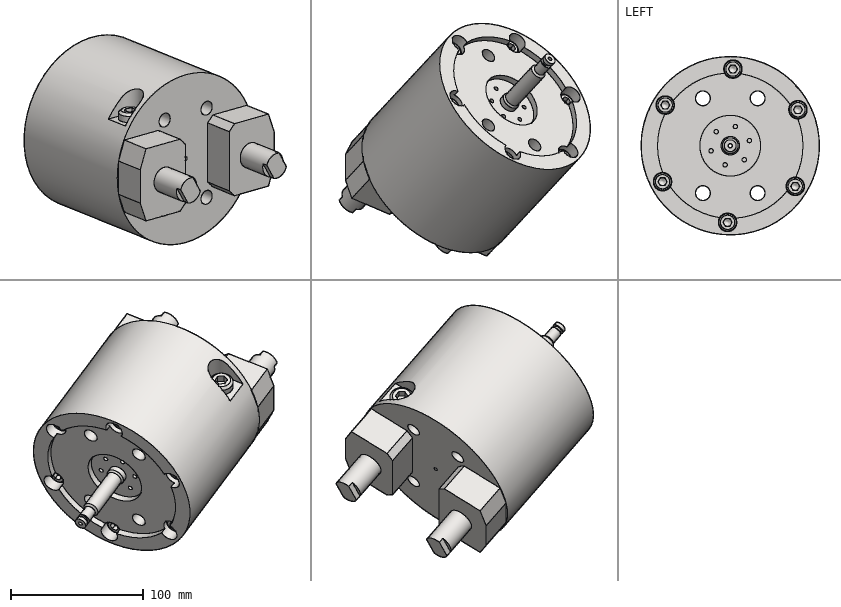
import cadquery as cq
import math


BODY_DIAMETER = 135.0
BODY_LENGTH = 110.0
FACE_RECESS_DIAMETER = 110.0
FACE_RECESS_DEPTH = 5.0
HUB_RECESS_DIAMETER = 46.0
HUB_RECESS_DEPTH = 10.0

THROUGH_HOLE_DIAMETER = 11.0
THROUGH_HOLE_CIRCLE_RADIUS = 41.4
THROUGH_HOLE_ANGLE = 60.0

HUB_HOLE_COUNT = 6
HUB_HOLE_DIAMETER = 3.3
HUB_HOLE_CIRCLE_RADIUS = 15.0
HUB_HOLE_START_ANGLE = 15.0
HUB_HOLE_DEPTH = 8.0

SHAFT_TIP_X = -49.5
SHAFT_DIAMETER = 12.0
SHAFT_NECK_DIAMETER = 9.0
SHAFT_NECK_LENGTH = 15.2
SHAFT_BORE_DIAMETER = 3.0
CLIP_GROOVE_DIAMETER = 6.0
CLIP_GROOVE_OFFSET = 3.0
CLIP_GROOVE_WIDTH = 2.5
COLLAR_DIAMETER = 14.0
COLLAR_LENGTH = 6.0
COLLAR_CHAMFER_LENGTH = 1.7

FACE_SCREW_COUNT = 6
FACE_SCREW_CIRCLE_RADIUS = 58.0
FACE_SCREW_START_ANGLE = 28.0
FACE_SCREW_BORE_DIAMETER = 14.0
FACE_SCREW_BORE_DEPTH = 16.0
FACE_SCREW_HEAD_DIAMETER = 13.0
FACE_SCREW_HEAD_HEIGHT = 8.0
FACE_SCREW_HEAD_CHAMFER_LENGTH = 0.6
FACE_SCREW_HEAD_CHAMFER_DEPTH = 1.1
FACE_SCREW_HEX = 6.0
FACE_SCREW_HEX_DEPTH = 4.0
DRILL_POINT_ANGLE = 118.0

POCKET_X = 95.5
POCKET_Y = -42.5
POCKET_FLOOR_Z = 38.0
POCKET_WIDTH = 20.0
CLAMP_HEAD_DIAMETER = 18.0
CLAMP_HEAD_HEIGHT = 7.0
CLAMP_HEAD_CHAMFER = 2.0
CLAMP_HEX = 8.0
CLAMP_HEX_DEPTH = 6.0
CLAMP_HEX_TURN = 4.0

BLOCK_LENGTH = 25.5
BLOCK_WIDTH = 44.4
BLOCK_HEIGHT = 58.0
BLOCK_OUTER_CORNER_Z = 15.6
BLOCK_OUTER_CORNER_ANGLE = 20.0
BLOCK_INNER_CHAMFER = 5.2
BLOCK_CENTER_Y = 43.9
PIPE_DIAMETER = 20.0
PIPE_LENGTH = 31.0
PIPE_CENTER_Y = 42.5
PIPE_FLAT_WIDTH = 14.0
PIPE_FLAT_LENGTH = 4.5
PIPE_FLAT_ANGLE = 30.0

TOTAL_LENGTH = BODY_LENGTH + BLOCK_LENGTH + PIPE_LENGTH - SHAFT_TIP_X


def rod(diameter, start_x, length, y=0.0, z=0.0):
    """Cylinder along +X starting at start_x."""
    return cq.Workplane("YZ", origin=(start_x, y, z)).circle(diameter / 2).extrude(length)


def bevel_front_edge(round_part, length, depth):
    """Bevel the -X rim of a cylinder on the X axis; length runs along X and depth radially."""
    box = round_part.val().BoundingBox()
    radius = box.ylen / 2
    profile = [(box.xmin, radius - depth), (box.xmin, radius), (box.xmin + length, radius)]
    ring = cq.Workplane("XY").polyline(profile).close().revolve(360, (0, 0, 0), (1, 0, 0))
    return round_part.cut(ring)


def hexagon_corner_diameter(across_flats):
    return across_flats / math.cos(math.radians(30))


def on_circle(radius, angle):
    """(y, z) on a circle about the main axis; 0 degrees is -Y and 90 degrees is +Z."""
    a = math.radians(angle)
    return -radius * math.cos(a), radius * math.sin(a)


def make_body():
    body = rod(BODY_DIAMETER, 0, BODY_LENGTH)
    body = body.cut(rod(FACE_RECESS_DIAMETER, 0, FACE_RECESS_DEPTH))
    return body.cut(rod(HUB_RECESS_DIAMETER, 0, HUB_RECESS_DEPTH))


def cut_through_holes(part):
    y, z = on_circle(THROUGH_HOLE_CIRCLE_RADIUS, THROUGH_HOLE_ANGLE)
    for side_y in (y, -y):
        for side_z in (z, -z):
            part = part.cut(rod(THROUGH_HOLE_DIAMETER, 0, BODY_LENGTH, side_y, side_z))
    return part


def cut_hub_holes(part):
    for i in range(HUB_HOLE_COUNT):
        angle = HUB_HOLE_START_ANGLE + i * 360 / HUB_HOLE_COUNT
        y, z = on_circle(HUB_HOLE_CIRCLE_RADIUS, angle)
        part = part.cut(rod(HUB_HOLE_DIAMETER, HUB_RECESS_DEPTH, HUB_HOLE_DEPTH, y, z))
    return part


def make_shaft():
    shoulder_x = SHAFT_TIP_X + SHAFT_NECK_LENGTH
    shoulder_chamfer = (SHAFT_DIAMETER - SHAFT_NECK_DIAMETER) / 2
    neck = rod(SHAFT_NECK_DIAMETER, SHAFT_TIP_X, SHAFT_NECK_LENGTH)
    groove_x = SHAFT_TIP_X + CLIP_GROOVE_OFFSET
    groove = rod(SHAFT_NECK_DIAMETER, groove_x, CLIP_GROOVE_WIDTH)
    groove = groove.cut(rod(CLIP_GROOVE_DIAMETER, groove_x, CLIP_GROOVE_WIDTH))
    main = rod(SHAFT_DIAMETER, shoulder_x, HUB_RECESS_DEPTH - shoulder_x)
    main = bevel_front_edge(main, shoulder_chamfer, shoulder_chamfer)
    collar = rod(COLLAR_DIAMETER, HUB_RECESS_DEPTH - COLLAR_LENGTH, COLLAR_LENGTH)
    chamfer_depth = (COLLAR_DIAMETER - SHAFT_DIAMETER) / 2
    collar = bevel_front_edge(collar, COLLAR_CHAMFER_LENGTH, chamfer_depth)
    return neck.cut(groove).union(main).union(collar)


def make_face_screw_head():
    """Screw head on the X axis with its top at x = 0 and a drilled hexagon socket."""
    head = rod(FACE_SCREW_HEAD_DIAMETER, 0, FACE_SCREW_HEAD_HEIGHT)
    head = bevel_front_edge(head, FACE_SCREW_HEAD_CHAMFER_LENGTH, FACE_SCREW_HEAD_CHAMFER_DEPTH)
    hex_corners = hexagon_corner_diameter(FACE_SCREW_HEX)
    socket = cq.Workplane("YZ").polygon(6, hex_corners).extrude(FACE_SCREW_HEX_DEPTH)
    point_radius = FACE_SCREW_HEX / 2
    point_depth = point_radius / math.tan(math.radians(DRILL_POINT_ANGLE / 2))
    point = cq.Workplane(cq.Solid.makeCone(
        point_radius, 0, point_depth, cq.Vector(FACE_SCREW_HEX_DEPTH, 0, 0), cq.Vector(1, 0, 0)))
    return head.cut(socket).cut(point)


def add_face_screws(part):
    head = make_face_screw_head()
    head_x = FACE_SCREW_BORE_DEPTH - FACE_SCREW_HEAD_HEIGHT
    for i in range(FACE_SCREW_COUNT):
        angle = FACE_SCREW_START_ANGLE + i * 360 / FACE_SCREW_COUNT
        y, z = on_circle(FACE_SCREW_CIRCLE_RADIUS, angle)
        part = part.cut(rod(FACE_SCREW_BORE_DIAMETER, 0, FACE_SCREW_BORE_DEPTH, y, z))
        part = part.union(head.translate((head_x, y, z)))
    return part


def add_clamp_screw(part):
    floor = cq.Workplane("XY", origin=(POCKET_X, POCKET_Y, POCKET_FLOOR_Z))
    pocket_height = BODY_DIAMETER / 2 - POCKET_FLOOR_Z
    open_length = BODY_DIAMETER / 2 + POCKET_Y
    pocket = floor.circle(POCKET_WIDTH / 2).extrude(pocket_height)
    mouth = floor.center(0, -open_length / 2).rect(POCKET_WIDTH, open_length).extrude(pocket_height)
    head = floor.circle(CLAMP_HEAD_DIAMETER / 2).extrude(CLAMP_HEAD_HEIGHT)
    head = head.faces(">Z").chamfer(CLAMP_HEAD_CHAMFER)
    hex_corners = hexagon_corner_diameter(CLAMP_HEX)
    socket = (
        floor.workplane(offset=CLAMP_HEAD_HEIGHT - CLAMP_HEX_DEPTH)
        .transformed(rotate=(0, 0, CLAMP_HEX_TURN))
        .polygon(6, hex_corners)
        .extrude(CLAMP_HEX_DEPTH)
    )
    return part.cut(pocket).cut(mouth).union(head.cut(socket))


def make_block(side):
    """Block on the +Y (side 1) or -Y (side -1) half.

    Its outer corners are cut obliquely to stay inside the body diameter, its inner ones at 45 degrees.
    """
    inner_y = BLOCK_CENTER_Y - BLOCK_WIDTH / 2
    outer_y = BLOCK_CENTER_Y + BLOCK_WIDTH / 2
    half_z = BLOCK_HEIGHT / 2
    outer_z = half_z - BLOCK_OUTER_CORNER_Z
    outer_cut_y = outer_y - BLOCK_OUTER_CORNER_Z * math.tan(math.radians(BLOCK_OUTER_CORNER_ANGLE))
    inner_z = half_z - BLOCK_INNER_CHAMFER
    inner_cut_y = inner_y + BLOCK_INNER_CHAMFER
    upper_half = [(inner_y, inner_z), (inner_cut_y, half_z), (outer_cut_y, half_z), (outer_y, outer_z)]
    lower_half = [(y, -z) for y, z in reversed(upper_half)]
    outline = [(side * y, z) for y, z in upper_half + lower_half]
    plane = cq.Workplane("YZ", origin=(BODY_LENGTH, 0, 0))
    return plane.polyline(outline).close().extrude(BLOCK_LENGTH)


def make_pipe(center_y):
    """Round pipe with two parallel wrench flats at its free end."""
    plain_length = PIPE_LENGTH - PIPE_FLAT_LENGTH
    start_x = BODY_LENGTH + BLOCK_LENGTH
    plain = rod(PIPE_DIAMETER, start_x, plain_length, center_y)
    flats = (
        cq.Workplane("YZ", origin=(start_x + plain_length, center_y, 0))
        .transformed(rotate=(0, 0, PIPE_FLAT_ANGLE))
        .rect(PIPE_FLAT_WIDTH, PIPE_DIAMETER)
        .extrude(PIPE_FLAT_LENGTH)
    )
    end = rod(PIPE_DIAMETER, start_x + plain_length, PIPE_FLAT_LENGTH, center_y).intersect(flats)
    return plain.union(end)


part = make_body()
part = cut_through_holes(part)
part = cut_hub_holes(part)
part = add_face_screws(part)
part = add_clamp_screw(part)
part = part.union(make_shaft())
for side in (1, -1):
    part = part.union(make_block(side))
    part = part.union(make_pipe(side * PIPE_CENTER_Y))

shaft_bore = rod(SHAFT_BORE_DIAMETER, SHAFT_TIP_X, TOTAL_LENGTH)
result = part.cut(shaft_bore)